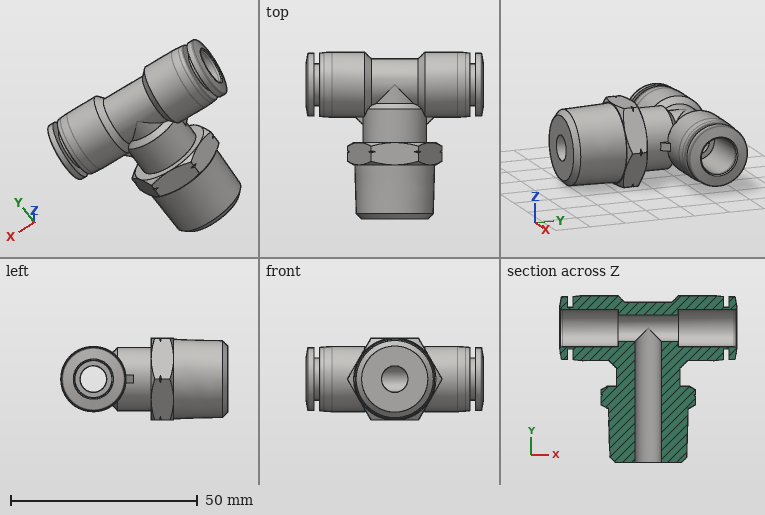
import cadquery as cq
import math

half_length = 23.8
run_radius = 7.0
body_radius = 8.75
waist_half_length = 6.3
rounding_start = 16.75
taper_start = 19.0
body_end = 20.2
rounding_radius = 18.1
body_edge_round = 0.2

collar_neck_radius = 5.65
collar_radius = 8.43
collar_thickness = 2.25
collar_face_depth = 0.5
collar_edge_round = 0.25

bore_radius = 3.5
socket_radius = 4.95
socket_bottom = 8.05
mouth_radius = 5.4
throat_radius = 5.05
throat_depth = 0.3
mouth_depth = 0.9

stem_radius = 8.5
stem_shoulder = 6.5
hex_across_flats = 22.0
hex_start = 15.45
hex_end = 21.45
hex_chamfer_angle = 30.0
groove_position = 17.95
groove_root_radius = 12.2
groove_half_width = 0.3
thread_root_radius = 10.7
thread_tip_radius = 10.35
thread_chamfer = 1.48
branch_end = 36.0

web_thickness = 2.2
web_start = 10.45


def cylinder_x(radius, start, end):
    return cq.Workplane("YZ").workplane(offset=start).circle(radius).extrude(end - start)


def revolve_x(profile):
    """Turn a profile drawn in (X, radius) about the X axis."""
    return profile.close().revolve(360, (0, 0), (1, 0))


def revolve_branch(profile):
    """Turn a profile drawn in (radius, Y) about the Y axis."""
    return profile.close().revolve(360, (0, 0), (0, 1))


def body_half():
    """Half of the run body at +X: shoulder, barrel, rounding and tangent end taper."""
    angle = math.asin((taper_start - rounding_start) / rounding_radius)
    taper_radius = body_radius - rounding_radius * (1 - math.cos(angle))
    arc_mid = (
        rounding_start + rounding_radius * math.sin(angle / 2),
        body_radius - rounding_radius * (1 - math.cos(angle / 2)),
    )
    end_radius = taper_radius - (body_end - taper_start) * math.tan(angle)
    half = revolve_x(
        cq.Workplane("XY")
        .lineTo(0, run_radius)
        .lineTo(waist_half_length, run_radius)
        .lineTo(waist_half_length + body_radius - run_radius, body_radius)
        .lineTo(rounding_start, body_radius)
        .threePointArc(arc_mid, (taper_start, taper_radius))
        .lineTo(body_end, end_radius)
        .lineTo(body_end, 0)
    )
    return half.faces(">X").edges().fillet(body_edge_round)


def collar():
    """Release collar at +X: neck and flange with a conical, round-edged front."""
    flange_back = half_length - collar_thickness
    cone_slope = math.atan(collar_face_depth / (collar_radius - mouth_radius))
    round_turn = math.pi / 2 - cone_slope
    round_x = half_length - collar_face_depth - collar_edge_round * math.tan(round_turn / 2)
    round_height = collar_radius - collar_edge_round

    def round_point(turn):
        """Point on the edge round after turning away from the flange rim."""
        return (
            round_x + collar_edge_round * math.sin(turn),
            round_height + collar_edge_round * math.cos(turn),
        )

    flange = revolve_x(
        cq.Workplane("XY")
        .moveTo(flange_back, 0)
        .lineTo(flange_back, collar_radius)
        .lineTo(round_x, collar_radius)
        .threePointArc(round_point(round_turn / 2), round_point(round_turn))
        .lineTo(half_length, mouth_radius)
        .lineTo(half_length, 0)
    )
    return cylinder_x(collar_neck_radius, body_end, flange_back).union(flange)


def socket():
    """Tube socket at +X with its flared mouth."""
    return revolve_x(
        cq.Workplane("XY")
        .moveTo(socket_bottom, 0)
        .lineTo(socket_bottom, socket_radius)
        .lineTo(half_length - mouth_depth, socket_radius)
        .lineTo(half_length - throat_depth, throat_radius)
        .lineTo(half_length, mouth_radius)
        .lineTo(half_length, 0)
    )


def stem():
    shoulder_width = stem_radius - run_radius
    return revolve_branch(
        cq.Workplane("XY")
        .lineTo(run_radius, 0)
        .lineTo(run_radius, -stem_shoulder + shoulder_width)
        .lineTo(stem_radius, -stem_shoulder)
        .lineTo(stem_radius, -hex_start)
        .lineTo(0, -hex_start)
    )


def hexagon():
    """Hexagon with corners at +X and -X, chamfered at both faces and grooved at its corners."""
    corner_radius = hex_across_flats / 2 / math.cos(math.pi / 6)
    face_radius = hex_across_flats / 2
    chamfer_height = (corner_radius - face_radius) * math.tan(math.radians(hex_chamfer_angle))
    prism = (
        cq.Workplane("XZ")
        .workplane(offset=hex_start)
        .polygon(6, 2 * corner_radius)
        .extrude(hex_end - hex_start)
    )
    envelope = revolve_branch(
        cq.Workplane("XY")
        .moveTo(0, -hex_start)
        .lineTo(face_radius, -hex_start)
        .lineTo(corner_radius, -hex_start - chamfer_height)
        .lineTo(corner_radius, -groove_position + groove_half_width)
        .lineTo(groove_root_radius, -groove_position)
        .lineTo(corner_radius, -groove_position - groove_half_width)
        .lineTo(corner_radius, -hex_end + chamfer_height)
        .lineTo(face_radius, -hex_end)
        .lineTo(0, -hex_end)
    )
    return prism.intersect(envelope)


def thread():
    chamfer_start = branch_end - thread_chamfer
    return revolve_branch(
        cq.Workplane("XY")
        .moveTo(0, -hex_end)
        .lineTo(thread_root_radius, -hex_end)
        .lineTo(thread_tip_radius, -chamfer_start)
        .lineTo(thread_tip_radius - thread_chamfer, -branch_end)
        .lineTo(0, -branch_end)
    )


def webs():
    """45 degree webs on both sides of the stem, as one triangular plate."""
    return (
        cq.Workplane("XY")
        .moveTo(-web_start, -body_radius)
        .lineTo(0, -body_radius - web_start)
        .lineTo(web_start, -body_radius)
        .lineTo(web_start, 0)
        .lineTo(-web_start, 0)
        .close()
        .extrude(web_thickness / 2, both=True)
    )


def on_both_ends(half):
    return half.union(half.mirror("YZ"))


solid = on_both_ends(body_half()).union(on_both_ends(collar()))
for feature in (stem(), hexagon(), thread(), webs()):
    solid = solid.union(feature)

run_bore = cylinder_x(bore_radius, -half_length, half_length)
branch_bore = cq.Workplane("XZ").circle(bore_radius).extrude(branch_end)
result = solid.cut(run_bore).cut(branch_bore).cut(socket()).cut(socket().mirror("YZ"))